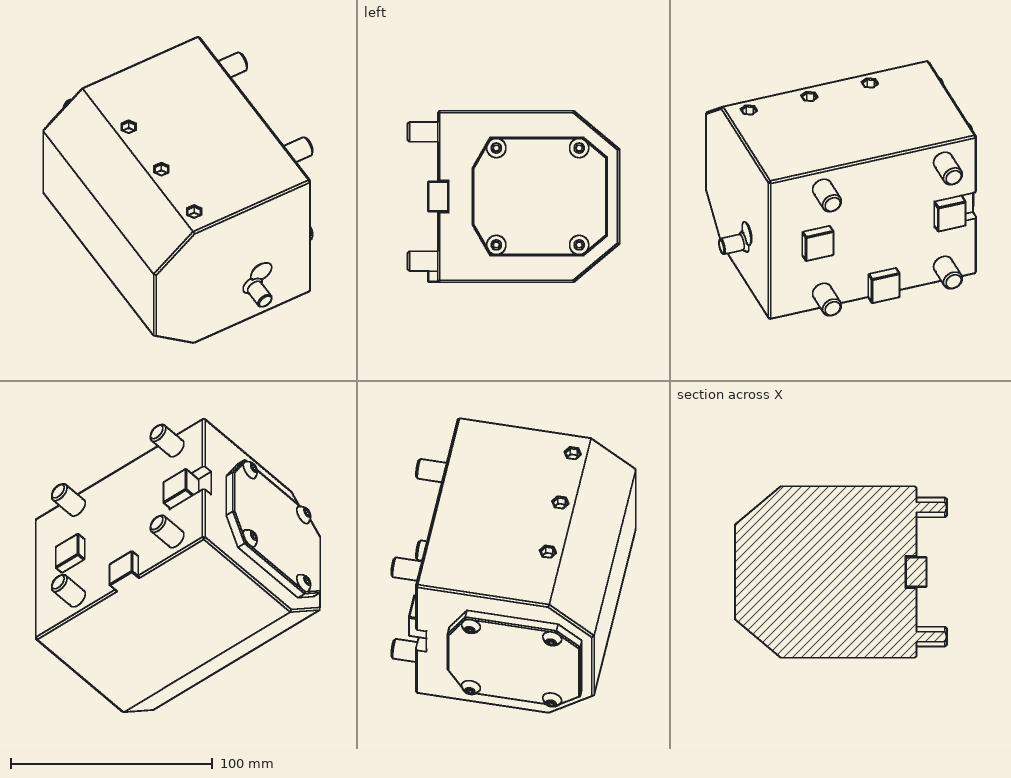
import cadquery as cq
import math


block_left_x = -50.0
block_length = 110.0
block_right_x = block_left_x + block_length
block_depth = 90.0
block_height = 85.0
slope_angle = math.radians(40)
slope_height = 19.0
slope_depth = slope_height / math.tan(slope_angle)
block_chamfer = 1.0

pin_diameter = 10.0
pin_length = 15.0
pin_chamfer = 1.0
pin_offset = 32.0

key_width = 15.0
key_length = 15.0
key_protrusion = 5.0
key_reach = 42.5
key_chamfer = 0.5
slot_width = 16.0
slot_depth = 5.5

plate_thickness = 5.0
plate_back_y = -17.0
plate_front_y = -84.0
plate_height = 58.8
plate_back_corner_depth = 9.0
plate_back_corner_height = plate_back_corner_depth / math.tan(math.radians(30))
plate_front_corner_depth = 12.0
plate_front_corner_height = plate_front_corner_depth * math.tan(slope_angle)
plate_chamfer = 0.7

screw_back_y = -29.0
screw_spacing_y = 41.0
screw_spacing_z = 48.0
head_diameter = 9.5
head_height = 2.75
head_flat_diameter = 5.0
head_socket_flats = 3.0
head_socket_depth = 1.5

socket_flats = 6.2
socket_rim_chamfer = 0.6
socket_depth = 5.0
socket_spacing = 32.0
socket_count = 3
socket_first_x = -16.0
socket_y = -60.25
drill_point_angle = math.radians(118)

nozzle_y = -33.75
nozzle_z = -17.0
nozzle_diameter = 8.0
nozzle_length = 12.54
nozzle_chamfer = 0.5
ball_diameter = 12.0
ball_recess = 2.5

clamp_distance = 9.2
clamp_angle = math.radians(61)
clamp_head_diameter = 12.0
clamp_head_protrusion = 0.9


def make_block():
    """Block with two sloped front edges, chamfered at both ends and around the mounting face."""
    half_height = block_height / 2
    flat_half = half_height - slope_height
    slope_start_y = -block_depth + slope_depth
    profile = [
        (0, -half_height),
        (slope_start_y, -half_height),
        (-block_depth, -flat_half),
        (-block_depth, flat_half),
        (slope_start_y, half_height),
        (0, half_height),
    ]
    block = cq.Workplane("YZ", origin=(block_left_x, 0, 0)).polyline(profile).close().extrude(block_length)
    return block.faces("<X or >X or >Y").chamfer(block_chamfer)


def make_pins():
    """Four mounting pins standing on the mounting face."""
    pins = (
        cq.Workplane("XZ")
        .rect(2 * pin_offset, 2 * pin_offset, forConstruction=True)
        .vertices()
        .circle(pin_diameter / 2)
        .extrude(-pin_length)
    )
    return pins.faces(">Y").chamfer(pin_chamfer)


def make_key_slot():
    """Slot cutter for the -X key, open at the -X end of the block."""
    slot_length = key_length - key_reach - block_left_x
    return cq.Workplane("XY").box(slot_length, slot_depth, slot_width, centered=(False, False, True)).translate(
        (block_left_x, -slot_depth, 0)
    )


def make_key():
    """Key on the -X arm of the key cross, resting on the slot floor."""
    key = cq.Workplane("XY").box(
        key_length, slot_depth + key_protrusion, key_width, centered=(False, False, True)
    )
    return key.edges().chamfer(key_chamfer).translate((-key_reach, -slot_depth, 0))


def turn_about_y(shape, angle):
    """Turn a shape about the axis of the key cross."""
    return shape.rotate((0, 0, 0), (0, 1, 0), angle)


def make_cover_plate():
    """Eight-sided cover plate with a chamfered outer rim."""
    half_height = plate_height / 2
    back_half = half_height - plate_back_corner_height
    front_half = half_height - plate_front_corner_height
    outline = [
        (plate_back_y, back_half),
        (plate_back_y - plate_back_corner_depth, half_height),
        (plate_front_y + plate_front_corner_depth, half_height),
        (plate_front_y, front_half),
        (plate_front_y, -front_half),
        (plate_front_y + plate_front_corner_depth, -half_height),
        (plate_back_y - plate_back_corner_depth, -half_height),
        (plate_back_y, -back_half),
    ]
    plate = cq.Workplane("YZ", origin=(block_left_x, 0, 0)).polyline(outline).close().extrude(-plate_thickness)
    return plate.faces("<X").chamfer(plate_chamfer)


def hexagonal_prism(flats, depth, taper=0):
    """Hexagonal prism below Z = 0 with corners along Y, narrowing downwards by the taper angle."""
    corner_diameter = flats / math.cos(math.pi / 6)
    prism = cq.Workplane("XY").polygon(6, corner_diameter).extrude(-depth, taper=taper)
    return prism.rotate((0, 0, 0), (0, 0, 1), 90)


def hex_socket(flats, depth):
    """Hexagonal socket cutter below Z = 0 with a drill point."""
    point_height = flats / 2 / math.tan(drill_point_angle / 2)
    point = cq.Solid.makeCone(flats / 2, 0, point_height, cq.Vector(0, 0, -depth), cq.Vector(0, 0, -1))
    return hexagonal_prism(flats, depth).union(cq.Workplane(point))


def make_top_socket():
    """Cutter for a hexagonal socket of the top face, with a 45 degree chamfered rim."""
    rim = hexagonal_prism(socket_flats + 2 * socket_rim_chamfer, socket_rim_chamfer, taper=45)
    return hex_socket(socket_flats, socket_depth).union(rim)


def make_button_head():
    """Domed screw head standing on Z = 0, with a hexagonal socket."""
    base_radius = head_diameter / 2
    flat_radius = head_flat_diameter / 2
    dome_centre_z = (flat_radius**2 + head_height**2 - base_radius**2) / (2 * head_height)
    dome_radius = math.hypot(base_radius, dome_centre_z)
    middle_z = head_height / 2
    middle_radius = math.sqrt(dome_radius**2 - (middle_z - dome_centre_z) ** 2)
    head = (
        cq.Workplane("XZ")
        .lineTo(base_radius, 0)
        .threePointArc((middle_radius, middle_z), (flat_radius, head_height))
        .lineTo(0, head_height)
        .close()
        .revolve(360, (0, 0, 0), (0, 1, 0))
    )
    return head.cut(hex_socket(head_socket_flats, head_socket_depth).translate((0, 0, head_height)))


def make_nozzle():
    """Coolant tube on a ball that is partly sunk in the +X face, revolved about the tube axis."""
    ball_radius = ball_diameter / 2
    tube_radius = nozzle_diameter / 2
    tube_start_x = math.sqrt(ball_radius**2 - tube_radius**2)
    tube_end_x = ball_recess + nozzle_length
    nozzle = (
        cq.Workplane("XY")
        .lineTo(0, ball_radius)
        .radiusArc((tube_start_x, tube_radius), ball_radius)
        .lineTo(tube_end_x - nozzle_chamfer, tube_radius)
        .lineTo(tube_end_x, tube_radius - nozzle_chamfer)
        .lineTo(tube_end_x, 0)
        .close()
        .revolve(360, (0, 0, 0), (1, 0, 0))
    )
    return nozzle.translate((block_right_x - ball_recess, nozzle_y, nozzle_z))


def make_clamp_head():
    """Part of a 90 degree countersunk screw head that stands above the +X face."""
    head_radius = clamp_head_diameter / 2
    centre = cq.Vector(
        block_right_x,
        nozzle_y + clamp_distance * math.cos(clamp_angle),
        nozzle_z + clamp_distance * math.sin(clamp_angle),
    )
    cone = cq.Solid.makeCone(
        head_radius - clamp_head_protrusion, head_radius, clamp_head_protrusion, centre, cq.Vector(1, 0, 0)
    )
    return cq.Workplane(cone)


result = make_block().union(make_pins())

result = result.cut(make_key_slot())
for arm_angle in (0, 180, -90):
    result = result.union(turn_about_y(make_key(), arm_angle))

result = result.union(make_cover_plate())
outward_head = turn_about_y(make_button_head(), -90)
for head_y in (screw_back_y, screw_back_y - screw_spacing_y):
    for head_z in (-screw_spacing_z / 2, screw_spacing_z / 2):
        result = result.union(outward_head.translate((block_left_x - plate_thickness, head_y, head_z)))

for index in range(socket_count):
    socket_x = socket_first_x + index * socket_spacing
    result = result.cut(make_top_socket().translate((socket_x, socket_y, block_height / 2)))

result = result.union(make_nozzle()).union(make_clamp_head())